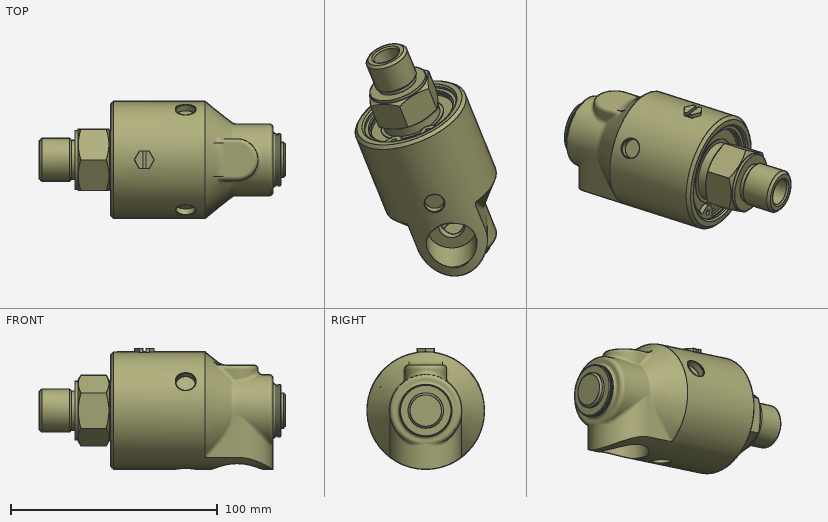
import cadquery as cq
import math


nipple_diameter = 21.0
nipple_chamfer = 1.3
relief_diameter = 19.1
relief_cone_start = 14.8
relief_start = 15.6
bore_diameter = 12.8
bore_mouth_diameter = 14.3
flange_start = 17.3
flange_diameter = 28.6
hex_start = 18.7
hex_end = 34.0
hex_across_flats = 29.8
hex_face_diameter = 29.1
hex_chamfer_angle = 30.0

body_start = 34.5
body_diameter = 57.0
body_chamfer = 1.5
body_end = 80.2
neck_diameter = 34.9
neck_end = 113.2
neck_rounding = 2.0
cone_angle = 38.6
cone_blend = 2.9

cap_diameter = 25.4
cap_root_radius = 1.5
cap_end = 117.0
cap_chamfer = 0.5
cap_groove_end = 115.7
cap_groove_diameter = 24.4
stub_diameter = 17.2
total_length = 119.2
stub_chamfer = 1.0

recess_mouth_diameter = 48.7
recess_diameter = 47.1
recess_mouth_depth = 0.8
ring_depth = 1.9
shoulder_depth = 3.1
floor_depth = 4.3
ring_inner_diameter = 43.6
shoulder_inner_diameter = 42.1
shaft_seat_diameter = 32.0
shaft_seat_height = 0.4
ear_radius = 3.8
ear_offset_y = 8.7
ear_offset_z = 18.5
ear_root_length = 4.8
ear_lean_angle = 58.0
ear_hole_diameter = 2.5
ear_hole_depth = 1.8
ring_gap = 9.8
ring_gap_diameter = 45.5

port_x = 95.8
foot_half_width = 17.3
foot_start = 73.9
port_diameter = 24.4
port_mouth_diameter = 25.4
port_floor_z = -9.5
pad_half_width = 10.1
pad_top_z = 22.0
pad_start = 81.0
pad_rounding = 2.0
foot_root_fillet = 1.8
pad_root_fillet = 2.0
pad_cone_fillet = 6.0
pad_blend_end = 91.2

weep_x = 70.9
weep_diameter = 9.5
weep_mouth_diameter = 10.0
weep_depth = 3.8
weep_angles = (30, 150, 270)
plug_x = 50.9
plug_across_flats = 8.3
plug_top_z = 30.1
plug_slot_width = 1.4
plug_slot_depth = 1.5

pick_margin = 0.1

body_radius = body_diameter / 2
neck_radius = neck_diameter / 2


def rod(start, end, diameter):
    """Cylinder on the X axis."""
    return cq.Workplane("YZ", origin=(start, 0, 0)).circle(diameter / 2).extrude(end - start)


def turned(points):
    """Solid of revolution about X from (x, radius) points; the axis side is closed."""
    closed = [(points[0][0], 0)] + points + [(points[-1][0], 0)]
    return cq.Workplane("XY").polyline(closed).close().revolve(360, (0, 0, 0), (1, 0, 0))


def tongue(start, half_width, bottom, top):
    """Vertical slab along X that ends in a half round about the port axis."""
    return (
        cq.Workplane("XY", origin=(0, 0, bottom))
        .moveTo(start, -half_width)
        .lineTo(port_x, -half_width)
        .threePointArc((port_x + half_width, 0), (port_x, half_width))
        .lineTo(start, half_width)
        .close()
        .extrude(top - bottom)
    )


def corner_width(across_flats):
    """Width across the corners of a regular hexagon."""
    return across_flats / math.cos(math.pi / 6)


def make_nipple():
    radius = nipple_diameter / 2
    relief = relief_diameter / 2
    nipple = turned([
        (0, radius - nipple_chamfer),
        (nipple_chamfer, radius),
        (relief_cone_start, radius),
        (relief_start, relief),
        (flange_start, relief),
        (flange_start, flange_diameter / 2),
        (body_start + floor_depth, flange_diameter / 2),
    ])
    return nipple.union(make_hexagon())


def make_hexagon():
    across_corners = corner_width(hex_across_flats)
    hexagon = (
        cq.Workplane("YZ", origin=(hex_start, 0, 0))
        .transformed(rotate=(0, 0, 90))
        .polygon(6, across_corners)
        .extrude(hex_end - hex_start)
    )
    face_radius = hex_face_diameter / 2
    corner_radius = across_corners / 2
    chamfer = (corner_radius - face_radius) * math.tan(math.radians(hex_chamfer_angle))
    envelope = turned([
        (hex_start, face_radius),
        (hex_start + chamfer, corner_radius),
        (hex_end - chamfer, corner_radius),
        (hex_end, face_radius),
    ])
    return hexagon.intersect(envelope)


def make_housing():
    cone_length = (body_radius - neck_radius) / math.tan(math.radians(cone_angle))
    cone_end = body_end + cone_length
    housing = turned([
        (body_start, body_radius - body_chamfer),
        (body_start + body_chamfer, body_radius),
        (body_end, body_radius),
        (cone_end, neck_radius),
        (neck_end, neck_radius),
    ])
    blend_edge = cq.selectors.BoxSelector(
        (cone_end - pick_margin, -body_radius, -body_radius),
        (cone_end + pick_margin, body_radius, body_radius),
        boundingbox=True,
    )
    housing = housing.edges(blend_edge).fillet(cone_blend)
    return housing.faces(">X").edges().fillet(neck_rounding)


def make_foot():
    foot = tongue(foot_start, foot_half_width, -body_radius, 0)
    return foot.intersect(rod(foot_start, total_length, body_diameter))


def make_pad():
    pad = tongue(pad_start, pad_half_width, 0, pad_top_z)
    return pad.faces(">Z").edges("not <X").fillet(pad_rounding)


def add_foot(housing):
    """Join the foot and fillet its root; the fillet runs on from the neck edges along the cone."""
    neck_root = cq.selectors.BoxSelector(
        (port_x + pick_margin, -foot_half_width, -neck_radius),
        (neck_end, foot_half_width, -neck_radius / 4),
    )
    root = housing.union(make_foot()).edges(neck_root).edges("not |Z")
    return root.fillet(foot_root_fillet)


def add_pad(housing):
    """Join the pad and fillet its whole root."""
    rounding_z = pad_top_z - pad_rounding
    side_root = cq.selectors.BoxSelector(
        (body_end + pick_margin, -pad_half_width - pick_margin, neck_radius / 2),
        (neck_end - neck_rounding - pick_margin, pad_half_width + pick_margin, rounding_z - pick_margin),
    )
    cone_root = cq.selectors.BoxSelector(
        (body_end + pick_margin, -pad_half_width, rounding_z - pick_margin),
        (pad_blend_end - pick_margin, pad_half_width, pad_top_z + pick_margin),
    )
    joined = housing.union(make_pad())
    return joined.edges(side_root + cone_root).edges("not |Z").fillet(pad_root_fillet)


def make_pad_blend(housing):
    """Wide fillet from the flat top of the pad up to the cone, between the rounded pad edges."""
    half_width = pad_half_width - pad_rounding
    cone_edge = cq.selectors.BoxSelector(
        (body_end + pick_margin, -half_width, pad_top_z - pick_margin),
        (pad_blend_end, half_width, pad_top_z + pick_margin),
    )
    sharp_pad = tongue(pad_start, pad_half_width, 0, pad_top_z)
    blended = housing.union(sharp_pad).edges(cone_edge).edges("not |X").fillet(pad_cone_fillet)
    length = pad_blend_end - pad_start
    window = (
        cq.Workplane("XY", origin=(pad_start + length / 2, 0, pad_top_z / 2))
        .rect(length, 2 * half_width)
        .extrude(pad_top_z)
    )
    return blended.intersect(window)


def make_end_cap():
    cap = cap_diameter / 2
    groove = cap_groove_diameter / 2
    stub = stub_diameter / 2
    root_radius = cap + cap_root_radius
    root_end = neck_end + cap_root_radius
    root_middle = cap_root_radius * math.sqrt(0.5)
    return (
        cq.Workplane("XY")
        .polyline([(port_x, 0), (port_x, root_radius), (neck_end, root_radius)])
        .threePointArc((root_end - root_middle, root_radius - root_middle), (root_end, cap))
        .polyline(
            [
                (root_end, groove),
                (cap_groove_end, groove),
                (cap_groove_end, cap),
                (cap_end - cap_chamfer, cap),
                (cap_end, cap - cap_chamfer),
                (cap_end, stub),
                (total_length - stub_chamfer, stub),
                (total_length, stub - stub_chamfer),
                (total_length, 0),
            ],
            includeCurrent=True,
        )
        .close()
        .revolve(360, (0, 0, 0), (1, 0, 0))
    )


def make_ear_root(start, end, side, lean):
    """Straight web from an ear out to the ring; the lean turns it about the ear centre."""
    return (
        cq.Workplane("YZ", origin=(start, side * ear_offset_y, -ear_offset_z))
        .transformed(rotate=(0, 0, lean))
        .center(0, -ear_root_length / 2)
        .rect(2 * ear_radius, ear_root_length)
        .extrude(end - start)
    )


def make_recess():
    """Stepped pocket in the housing face, less the ears of the retaining ring."""
    ring_x = body_start + ring_depth
    shoulder_x = body_start + shoulder_depth
    floor_x = body_start + floor_depth
    mouth = turned([
        (body_start, recess_mouth_diameter / 2),
        (body_start + recess_mouth_depth, recess_diameter / 2),
        (ring_x, recess_diameter / 2),
    ])
    ring_opening = rod(ring_x, shoulder_x, ring_inner_diameter)
    centre = rod(shoulder_x, floor_x, shoulder_inner_diameter)
    shaft_seat = rod(floor_x - shaft_seat_height, floor_x, shaft_seat_diameter)

    ears = cq.Workplane("YZ", origin=(ring_x, 0, 0))
    ears = ears.pushPoints([(-ear_offset_y, -ear_offset_z), (ear_offset_y, -ear_offset_z)])
    ear_bodies = ears.circle(ear_radius).extrude(floor_x - ring_x)
    for side in (-1, 1):
        for lean in (0, side * ear_lean_angle):
            ear_bodies = ear_bodies.union(make_ear_root(ring_x, floor_x, side, lean))
    ear_holes = ears.circle(ear_hole_diameter / 2).extrude(ear_hole_depth)

    gap_height = ring_gap_diameter / 2
    gap = (
        cq.Workplane("YZ", origin=(ring_x, 0, 0))
        .center(0, -gap_height / 2)
        .rect(ring_gap, gap_height)
        .extrude(shoulder_x - ring_x)
        .intersect(rod(ring_x, shoulder_x, ring_gap_diameter))
    )
    recess = mouth.union(ring_opening).union(centre).cut(shaft_seat)
    return recess.cut(ear_bodies).union(ear_holes).union(gap)


def make_bore():
    """Blind flow bore from the nipple, countersunk at its mouth."""
    bore = bore_diameter / 2
    mouth = bore_mouth_diameter / 2
    return turned([(0, mouth), (mouth - bore, bore), (port_x + bore, bore)])


def make_port():
    """Threaded port from below, with a passage up to the flow bore."""
    port = port_diameter / 2
    mouth = port_mouth_diameter / 2
    passage = bore_diameter / 2
    chamfer_top = -body_radius + mouth - port
    return (
        cq.Workplane("XZ")
        .polyline([
            (port_x, -body_radius),
            (port_x + mouth, -body_radius),
            (port_x + port, chamfer_top),
            (port_x + port, port_floor_z),
            (port_x + passage, port_floor_z),
            (port_x + passage, 0),
            (port_x, 0),
        ])
        .close()
        .revolve(360, (port_x, 0, 0), (port_x, 1, 0))
    )


def make_weep_hole(angle):
    """Blind radial hole; the angle runs from +Y toward +Z."""
    chamfer = (weep_mouth_diameter - weep_diameter) / 2
    mouth_radius = weep_mouth_diameter / 2
    wall_height = math.sqrt(body_radius**2 - mouth_radius**2)
    hole = (
        cq.Workplane("XZ")
        .polyline([
            (weep_x, body_radius - weep_depth),
            (weep_x + weep_diameter / 2, body_radius - weep_depth),
            (weep_x + weep_diameter / 2, wall_height - chamfer),
            (weep_x + mouth_radius, wall_height),
            (weep_x + mouth_radius, body_radius),
            (weep_x, body_radius),
        ])
        .close()
        .revolve(360, (weep_x, 0, 0), (weep_x, 1, 0))
    )
    return hole.rotate((0, 0, 0), (1, 0, 0), angle - 90)


def make_plug():
    plug_base_z = body_radius - weep_depth
    plug = (
        cq.Workplane("XY", origin=(plug_x, 0, plug_base_z))
        .polygon(6, corner_width(plug_across_flats))
        .extrude(plug_top_z - plug_base_z)
    )
    slot = (
        cq.Workplane("XY", origin=(plug_x, 0, plug_top_z - plug_slot_depth))
        .rect(plug_slot_width, 2 * plug_across_flats)
        .extrude(plug_slot_depth)
    )
    return plug.cut(slot)


shell = make_housing()
housing = add_pad(add_foot(shell)).union(make_pad_blend(shell)).union(make_end_cap())
housing = housing.cut(make_recess())
for weep_angle in weep_angles:
    housing = housing.cut(make_weep_hole(weep_angle))

result = housing.union(make_nipple()).union(make_plug()).cut(make_bore()).cut(make_port())